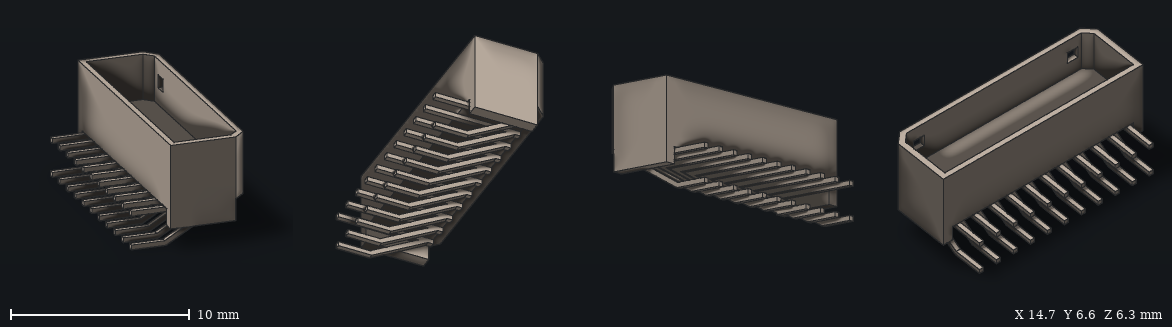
import cadquery as cq
import math

length = 14.7
depth = 4.6
height = 5.0
corner_chamfer = 0.7

end_wall = 0.41
side_wall = 0.35
pocket_depth = 2.7
pocket_chamfer = 0.5

leg_width = 0.69
ceiling_z = -4.0
leg_rear_y = depth - corner_chamfer
rear_strip_height = 3.7

window_size = 0.78
window_top_z = -0.93
window_centers_x = (-5.51, 5.8)

pin_count = 11
pin_pitch = 1.25
pin_width = 0.31
pin_thickness = 0.3
pin_reach = 2.0
lower_pin_bottom_z = -6.3
bend_angle = math.radians(30)


def chamfered_block(block_length, y_front, y_rear, chamfer, block_height):
    """Block hanging down from the rim, with its two rear vertical edges chamfered."""
    return (
        cq.Workplane("XY")
        .box(block_length, y_rear - y_front, block_height, centered=(True, False, False))
        .translate((0, y_front, -block_height))
        .edges("|Z and >Y")
        .chamfer(chamfer)
    )


def make_housing():
    """Open-topped housing with the underside relieved and the windows cut."""
    housing = chamfered_block(length, 0, depth, corner_chamfer, height)
    pocket_length = length - 2 * end_wall
    pocket = chamfered_block(pocket_length, side_wall, depth - side_wall, pocket_chamfer, pocket_depth)
    recess = (
        cq.Workplane("XY")
        .box(length - 2 * leg_width, depth, height + ceiling_z, centered=(True, False, False))
        .translate((0, 0, -height))
    )
    rear_step = (
        cq.Workplane("XY")
        .box(length, corner_chamfer, height - rear_strip_height, centered=(True, False, False))
        .translate((0, leg_rear_y, -height))
    )
    housing = housing.cut(pocket).cut(recess).cut(rear_step)
    for x in window_centers_x:
        window_center = (x, depth - side_wall / 2, window_top_z - window_size / 2)
        window = cq.Workplane("XY").box(window_size, 2 * side_wall, window_size)
        housing = housing.cut(window.translate(window_center))
    return housing


def pin_from_profile(points):
    """Extrude a side profile of (y, z) points to the pin width, centred on X = 0."""
    return cq.Workplane("YZ").polyline(points).close().extrude(pin_width / 2, both=True)


def make_upper_pin():
    """Straight pin lying against the recess ceiling."""
    bottom_z = ceiling_z - pin_thickness
    return pin_from_profile(
        [(-pin_reach, ceiling_z), (leg_rear_y, ceiling_z), (leg_rear_y, bottom_z), (-pin_reach, bottom_z)]
    )


def make_lower_pin():
    """Pin that rises at the bend angle from below the front face to the recess ceiling."""
    slope = math.tan(bend_angle)
    top_z = lower_pin_bottom_z + pin_thickness
    bottom_bend_y = pin_thickness * math.tan(bend_angle / 2)
    top_end_y = (ceiling_z - top_z) / slope
    rear_z = lower_pin_bottom_z + (leg_rear_y - bottom_bend_y) * slope
    return pin_from_profile(
        [
            (-pin_reach, top_z),
            (0, top_z),
            (top_end_y, ceiling_z),
            (leg_rear_y, ceiling_z),
            (leg_rear_y, rear_z),
            (bottom_bend_y, lower_pin_bottom_z),
            (-pin_reach, lower_pin_bottom_z),
        ]
    )


pin_pair = make_upper_pin().union(make_lower_pin())
result = make_housing()
for i in range(pin_count):
    pin_x = (i - (pin_count - 1) / 2) * pin_pitch
    result = result.union(pin_pair.translate((pin_x, 0, 0)))